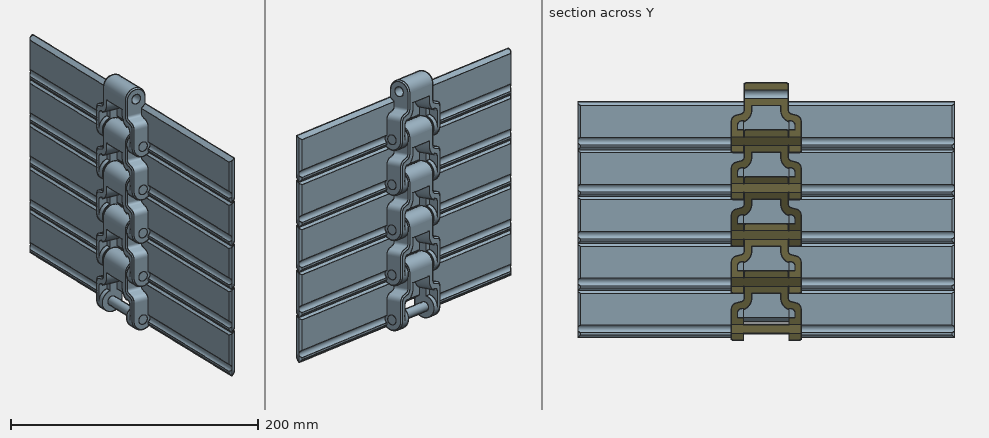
import cadquery as cq
import math

link_count = 5
chain_height = 208.8
belt_width = 304.8
thickness = 19.0
knuckle_radius = thickness / 2
pitch = (chain_height - thickness) / link_count
pin_radius = 8.2 / 2
rear_edge_break = 0.5

plate_thickness = 4.5
rear_y = thickness / 2
plate_front_y = rear_y - plate_thickness
slope_rear_gap = 5.8
slope_front_gap = 9.0
plate_bevel_depth = 1.5
plate_bevel_width = 2.0
groove_half_height = 3.0
groove_depth = 1.8
groove_radius = (groove_half_height**2 + groove_depth**2) / (2 * groove_depth)

eye_half_width = 18.0
leg_inner_x = 18.3
leg_outer_x = 28.3
shoulder_drop = 15.2
shoulder_slope = math.tan(math.radians(15))
shoulder_inner_radius = 2.7
shoulder_outer_radius = 5.2
outline_chamfer_depth = 1.0
outline_chamfer_width = 1.5

recess_half_width = 11.5
recess_shoulder_drop = 20.7
recess_neck_radius = 10.7
leg_recess_x = 23.2
leg_recess_drop = 21.5
leg_recess_floor_y = -1.8
leg_recess_radius = 3.5


def x_cylinder(radius, half_length, y, z):
    """Cylinder along X, centred on x = 0."""
    return (
        cq.Workplane("YZ", origin=(-half_length, 0, 0))
        .center(y, z)
        .circle(radius)
        .extrude(2 * half_length)
    )


def x_prism(points, half_length):
    """Prism along X, centred on x = 0, with an outline given in Y and Z."""
    return cq.Workplane("YZ", origin=(-half_length, 0, 0)).polyline(points).close().extrude(2 * half_length)


def stepped_prism(neck_x, top_z, corner_z, leg_x, bottom_z, front_y, back_y):
    """Symmetric prism along Y: a neck that widens over sloping shoulders into legs."""
    leg_corner_z = corner_z - (leg_x - neck_x) * shoulder_slope
    right_side = [(neck_x, top_z), (neck_x, corner_z), (leg_x, leg_corner_z), (leg_x, bottom_z)]
    left_side = [(-x, z) for x, z in reversed(right_side)]
    return (
        cq.Workplane("XZ", origin=(0, back_y, 0))
        .polyline(right_side + left_side)
        .close()
        .extrude(back_y - front_y)
    )


def round_corners(prism, x, z, radius):
    """Round the two mirrored Y-parallel edges at (-x, z) and (x, z)."""
    for side in (-1, 1):
        corner = cq.selectors.NearestToPointSelector((side * x, 0, z))
        prism = prism.edges("|Y").edges(corner).fillet(radius)
    return prism


def make_plate():
    """Flight plate with a sloping top face, a rounded rear bottom edge, bevelled ends and a groove."""
    bevel_y = plate_front_y + plate_bevel_depth
    bottom_drop = math.sqrt(knuckle_radius**2 - bevel_y**2)
    bottom_z = -pitch - bottom_drop
    arc_mid_angle = math.atan2(bottom_drop, bevel_y) / 2
    arc_mid = (knuckle_radius * math.cos(arc_mid_angle), -pitch - knuckle_radius * math.sin(arc_mid_angle))
    side_shape = (
        cq.Workplane("YZ", origin=(-belt_width / 2, 0, 0))
        .moveTo(rear_y, -slope_rear_gap - rear_edge_break)
        .lineTo(rear_y - rear_edge_break, -slope_rear_gap)
        .lineTo(plate_front_y, -slope_front_gap)
        .lineTo(plate_front_y, bottom_z + plate_bevel_width)
        .lineTo(bevel_y, bottom_z)
        .threePointArc(arc_mid, (rear_y, -pitch))
        .close()
        .extrude(belt_width)
    )
    end_x = belt_width / 2
    right_end = [
        (end_x - plate_bevel_width, plate_front_y),
        (end_x, bevel_y),
        (end_x, rear_y - rear_edge_break),
        (end_x - rear_edge_break, rear_y),
    ]
    left_end = [(-x, y) for x, y in reversed(right_end)]
    plan_shape = (
        cq.Workplane("XY", origin=(0, 0, -2 * pitch))
        .polyline(right_end + left_end)
        .close()
        .extrude(2 * pitch)
    )
    groove_y = plate_front_y + groove_depth - groove_radius
    groove = x_cylinder(groove_radius, belt_width, groove_y, -pitch)
    return side_shape.intersect(plan_shape).cut(groove)


def make_hinge_body():
    """Eye and legs as one plain block with rounded ends and chamfered outline edges."""
    outline = stepped_prism(
        eye_half_width, knuckle_radius, -shoulder_drop, leg_outer_x, -pitch - knuckle_radius, -rear_y, rear_y
    )
    leg_corner_z = -shoulder_drop - (leg_outer_x - eye_half_width) * shoulder_slope
    outline = round_corners(outline, eye_half_width, -shoulder_drop, shoulder_inner_radius)
    outline = round_corners(outline, leg_outer_x, leg_corner_z, shoulder_outer_radius)
    side_shape = (
        cq.Workplane("YZ", origin=(-leg_outer_x, 0, 0))
        .center(0, -pitch / 2)
        .slot2D(pitch + thickness, thickness, 90)
        .extrude(2 * leg_outer_x)
    )
    body = outline.intersect(side_shape)
    return body.faces("<Y").edges("not |X").chamfer(outline_chamfer_depth, outline_chamfer_width)


def make_neck_recess():
    """Central recess down to the plate front."""
    recess = stepped_prism(
        recess_half_width, -slope_front_gap, -recess_shoulder_drop, leg_outer_x,
        -pitch - thickness, -thickness, plate_front_y,
    )
    recess = round_corners(recess, recess_half_width, -recess_shoulder_drop, recess_neck_radius)
    between_legs = cq.Workplane("XY").box(2 * leg_inner_x, 4 * thickness, 4 * pitch)
    return recess.intersect(between_legs)


def make_eye_gap():
    """Gap between the legs, below a sloping face, in which the next eye turns."""
    gap_bottom = -pitch - thickness
    return x_prism(
        [
            (-thickness, -pitch + slope_front_gap),
            (plate_front_y, -pitch + slope_front_gap),
            (rear_y, -pitch + slope_rear_gap),
            (rear_y, gap_bottom),
            (-thickness, gap_bottom),
        ],
        leg_inner_x,
    )


def make_hinge_block():
    """Hinge body with its recesses and with a round boss on the inner side of each leg."""
    block = make_hinge_body().cut(make_neck_recess()).cut(make_eye_gap())
    recess_height = pitch + thickness - leg_recess_drop
    leg_recess = (
        cq.Workplane("XY", origin=(0, 0, -leg_recess_drop))
        .rect(2 * leg_recess_x, 2 * thickness)
        .extrude(-recess_height)
        .translate((0, leg_recess_floor_y - thickness, 0))
    )
    leg_recess = round_corners(leg_recess, leg_recess_x, -leg_recess_drop, leg_recess_radius)
    rings = x_cylinder(knuckle_radius, leg_recess_x, 0, -pitch)
    ring_width = leg_recess_x - leg_inner_x
    ring_middle_x = (leg_recess_x + leg_inner_x) / 2
    for side in (-1, 1):
        leg_side = (
            cq.Workplane("XY")
            .box(ring_width, 4 * thickness, 4 * pitch)
            .translate((side * ring_middle_x, 0, 0))
        )
        block = block.cut(leg_recess.intersect(leg_side))
        block = block.union(rings.intersect(leg_side))
    return block


def make_link():
    """One link with its eye axis on the X axis and its leg axis one pitch below."""
    link = make_hinge_block().union(make_plate().cut(make_eye_gap()))
    for axis_z, half_width in ((0, eye_half_width), (-pitch, leg_outer_x)):
        link = link.cut(x_cylinder(pin_radius, half_width, 0, axis_z))
    return link


def make_pin():
    """Hinge pin, flush with the outer faces of the legs."""
    return x_cylinder(pin_radius, leg_outer_x, 0, -pitch)


link = make_link()
pin = make_pin()
links = []
pins = []
for index in range(link_count):
    eye_z = (link_count / 2 - index) * pitch
    links.append(link.translate((0, 0, eye_z)).val())
    pins.append(pin.translate((0, 0, eye_z)).val())

result = cq.Compound.makeCompound([*links, *pins])